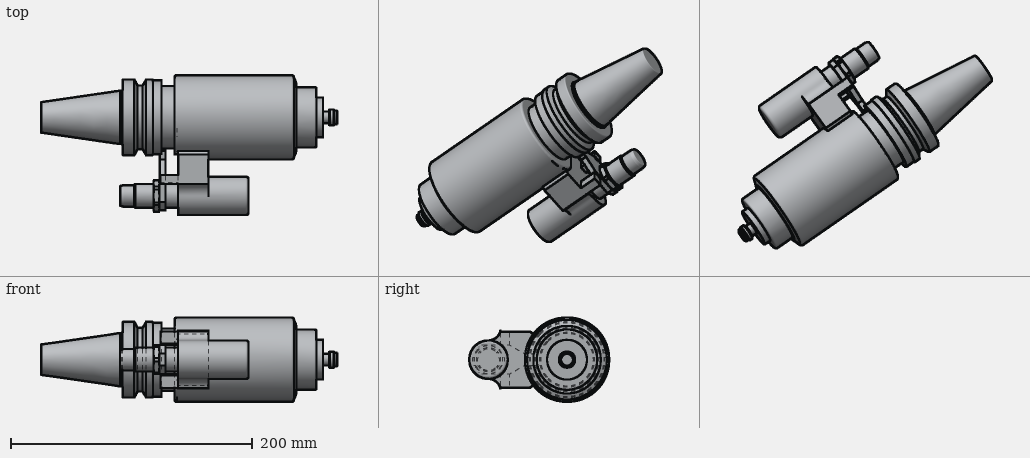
import cadquery as cq
import math


TAPER_LENGTH = 65.4
TAPER_RATIO = 7 / 24
GAUGE_RADIUS = 44.45 / 2
TIP_RADIUS = GAUGE_RADIUS - TAPER_LENGTH * TAPER_RATIO / 2
TIP_FILLET = 0.7
RELIEF_RADIUS = 43.5 / 2
RELIEF_CORNER = 1.0
FLANGE_START = 2.0
FLANGE_END = 27.0
FLANGE_RADIUS = 63 / 2
FLANGE_FILLET = 1.0
GROOVE_CENTRE = 16.6
GROOVE_MOUTH_HALF_WIDTH = 5.0
GROOVE_FLOOR_RADIUS = 53 / 2
GROOVE_WALL_ANGLE = 30

COLLAR_RADIUS = 61.5 / 2
COLLAR_END = 34.4
NECK_RADIUS = 52 / 2
BODY_START = 45.0
BODY_RADIUS = 70 / 2
BODY_FILLET = 2.0
BODY_SHOULDER = 143.9
BODY_END = 145.9
BODY_END_RADIUS = 28.0
NOSE_RADIUS = 50 / 2
NOSE_END = 162.5
NOSE_FILLET = 1.5
BOSS_RADIUS = 33 / 2
BOSS_END = 168.0

STEM_RADIUS = 10 / 2
FITTING_START = 172.8
FITTING_RING_RADIUS = 13.4 / 2
FITTING_RING_END = 177.2
FITTING_CHAMFER = 0.8
PLUG_RADIUS = 11.5 / 2
TOTAL_LENGTH = 245.22
PLUG_END = TOTAL_LENGTH - TAPER_LENGTH

PIN_Y = -65.0
PIN_RADIUS = 20 / 2
PIN_STEP = 12.6
PIN_STEP_CHAMFER = 1.0
PIN_TIP_RADIUS = 18 / 2
PIN_TIP_START = 0.0
PIN_TIP_TAPER_LENGTH = 2.8
PIN_TIP_TAPER_DEPTH = 0.8
PIN_TIP_FILLET = 0.7
HOUSING_RADIUS = 32 / 2
HOUSING_END = 106.4
HOUSING_FILLET = 2.3

BLOCK_START = 48.0
BLOCK_LENGTH = 25.0
BLOCK_HALF_HEIGHT = 46.5 / 2
SEAT_Y = -30.6
BLOCK_FRONT_Y = -55.2
BLEND_RADIUS = 10.0
ARM_START = 33.4
ARM_BACK_Y = -47.6
ARM_CHAMFER = 1.3
PLATE_START = 32.6
PLATE_THICKNESS = 5.0
PLATE_HALF_WIDTH = 12.0
TONGUE_HALF_WIDTH = 4.75
TONGUE_TIP_Y = -27.6
TONGUE_SLOPE = 30
NUT_START = 27.5
NUT_ACROSS_FLATS = 24.0
NUT_TURNED_DIAMETER = 26.3
NUT_CHAMFER = 0.6
NUT_CHAMFER_DEPTH = 1.5


def revolve_about_x(profile, axis_y=0):
    """Revolve (x, radius) points, closed along the axis, about a line parallel to X."""
    points = [(profile[0][0], 0)] + profile + [(profile[-1][0], 0)]
    solid = cq.Workplane("XY").polyline(points).close().revolve(360, (0, 0, 0), (1, 0, 0))
    return solid.translate((0, axis_y, 0))


def cross_section(start):
    """Workplane square to the spindle; its local axes are global Y and Z."""
    return cq.Workplane("YZ", origin=(start, 0, 0))


def cylinder(start, end, radius, axis_y=0):
    return cross_section(start).center(axis_y, 0).circle(radius).extrude(end - start)


def make_shank():
    taper = revolve_about_x([(-TAPER_LENGTH, TIP_RADIUS), (0, GAUGE_RADIUS)])
    taper = taper.faces("<X").edges().fillet(TIP_FILLET)
    relief = revolve_about_x([
        (0, RELIEF_RADIUS),
        (FLANGE_START - RELIEF_CORNER, RELIEF_RADIUS),
        (FLANGE_START, RELIEF_RADIUS + RELIEF_CORNER),
    ])

    flange = cylinder(FLANGE_START, FLANGE_END, FLANGE_RADIUS)
    flange = flange.faces("<X or >X").edges().fillet(FLANGE_FILLET)
    return taper.union(relief).union(flange.cut(make_gripper_groove()))


def make_gripper_groove():
    depth = FLANGE_RADIUS - GROOVE_FLOOR_RADIUS
    floor_half_width = GROOVE_MOUTH_HALF_WIDTH - depth * math.tan(math.radians(GROOVE_WALL_ANGLE))
    outline = [
        (GROOVE_CENTRE - GROOVE_MOUTH_HALF_WIDTH, FLANGE_RADIUS),
        (GROOVE_CENTRE - floor_half_width, GROOVE_FLOOR_RADIUS),
        (GROOVE_CENTRE + floor_half_width, GROOVE_FLOOR_RADIUS),
        (GROOVE_CENTRE + GROOVE_MOUTH_HALF_WIDTH, FLANGE_RADIUS),
    ]
    return cq.Workplane("XY").polyline(outline).close().revolve(360, (0, 0, 0), (1, 0, 0))


def make_spindle_body():
    collar = cylinder(FLANGE_END, COLLAR_END, COLLAR_RADIUS)
    neck = cylinder(COLLAR_END, BODY_START, NECK_RADIUS)

    body = cylinder(BODY_START, BODY_SHOULDER, BODY_RADIUS)
    body = body.faces("<X or >X").edges().fillet(BODY_FILLET)
    end_cone = revolve_about_x([
        (BODY_SHOULDER, BODY_RADIUS - BODY_FILLET),
        (BODY_END, BODY_END_RADIUS),
    ])
    seat_depth = BODY_RADIUS + SEAT_Y
    seat = cq.Workplane("XY").box(
        BLOCK_START + BLOCK_LENGTH - BODY_START, seat_depth, 2 * BODY_RADIUS, centered=(False, False, True)
    ).translate((BODY_START, -BODY_RADIUS, 0))

    nose = cylinder(BODY_END, NOSE_END, NOSE_RADIUS).faces(">X").edges().fillet(NOSE_FILLET)
    boss = cylinder(NOSE_END, BOSS_END, BOSS_RADIUS)
    return collar.union(neck).union(body.cut(seat)).union(end_cone).union(nose).union(boss)


def make_coolant_fitting():
    stem = cylinder(BOSS_END, FITTING_START, STEM_RADIUS)
    ring = cylinder(FITTING_START, FITTING_RING_END, FITTING_RING_RADIUS)
    ring = ring.faces("<X or >X").edges().chamfer(FITTING_CHAMFER)
    plug = cylinder(FITTING_RING_END, PLUG_END, PLUG_RADIUS)
    plug = plug.faces(">X").edges().chamfer(FITTING_CHAMFER)
    return stem.union(ring).union(plug)


def make_pin():
    pin = revolve_about_x([
        (PIN_TIP_START, PIN_TIP_RADIUS - PIN_TIP_TAPER_DEPTH),
        (PIN_TIP_START + PIN_TIP_TAPER_LENGTH, PIN_TIP_RADIUS),
        (PIN_STEP - PIN_STEP_CHAMFER, PIN_TIP_RADIUS),
        (PIN_STEP, PIN_RADIUS),
        (BLOCK_START, PIN_RADIUS),
    ], PIN_Y)
    pin = pin.faces("<X").edges().fillet(PIN_TIP_FILLET)
    housing = cylinder(BLOCK_START, HOUSING_END, HOUSING_RADIUS, PIN_Y)
    housing = housing.faces(">X").edges().fillet(HOUSING_FILLET)
    return pin.union(housing)


def make_block():
    block = (
        cross_section(BLOCK_START)
        .moveTo(0, 0)
        .lineTo(SEAT_Y, BLOCK_HALF_HEIGHT)
        .lineTo(BLOCK_FRONT_Y, BLOCK_HALF_HEIGHT)
        .lineTo(BLOCK_FRONT_Y, -BLOCK_HALF_HEIGHT)
        .lineTo(SEAT_Y, -BLOCK_HALF_HEIGHT)
        .close()
        .extrude(BLOCK_LENGTH)
    )
    blend_run = BLOCK_FRONT_Y - PIN_Y
    blend_rise = BLEND_RADIUS - math.sqrt(BLEND_RADIUS ** 2 - blend_run ** 2)
    web_half_height = HOUSING_RADIUS + blend_rise
    web = (
        cross_section(BLOCK_START)
        .moveTo(BLOCK_FRONT_Y, -web_half_height)
        .lineTo(BLOCK_FRONT_Y, web_half_height)
        .lineTo(PIN_Y, web_half_height)
        .lineTo(PIN_Y, -web_half_height)
        .close()
        .extrude(BLOCK_LENGTH)
    )
    for side in (1, -1):
        blend_z = side * (HOUSING_RADIUS + BLEND_RADIUS)
        blend = cross_section(BLOCK_START).center(PIN_Y, blend_z).circle(BLEND_RADIUS)
        web = web.cut(blend.extrude(BLOCK_LENGTH))
    return block.union(web)


def make_arm(side):
    """Finger on the block that holds the stop plate; side is +1 above, -1 below."""
    outline = [
        (ARM_BACK_Y, side * BLOCK_HALF_HEIGHT),
        (BLOCK_FRONT_Y, side * BLOCK_HALF_HEIGHT),
        (BLOCK_FRONT_Y, side * (PLATE_HALF_WIDTH + ARM_CHAMFER)),
        (BLOCK_FRONT_Y + ARM_CHAMFER, side * PLATE_HALF_WIDTH),
        (ARM_BACK_Y, side * PLATE_HALF_WIDTH),
    ]
    return cross_section(ARM_START).polyline(outline).close().extrude(BLOCK_START - ARM_START)


def make_stop_plate():
    octagon_half_side = PLATE_HALF_WIDTH * math.tan(math.pi / 8)
    slope_run = (PLATE_HALF_WIDTH - TONGUE_HALF_WIDTH) / math.tan(math.radians(TONGUE_SLOPE))
    upper_edge = [
        (TONGUE_TIP_Y, TONGUE_HALF_WIDTH),
        (ARM_BACK_Y + slope_run, TONGUE_HALF_WIDTH),
        (ARM_BACK_Y, PLATE_HALF_WIDTH),
        (PIN_Y - octagon_half_side, PLATE_HALF_WIDTH),
        (PIN_Y - PLATE_HALF_WIDTH, octagon_half_side),
    ]
    lower_edge = [(y, -z) for y, z in reversed(upper_edge)]
    return cross_section(PLATE_START).polyline(upper_edge + lower_edge).close().extrude(PLATE_THICKNESS)


def make_nut():
    across_corners = NUT_ACROSS_FLATS / math.cos(math.pi / 6)
    thickness = PLATE_START - NUT_START
    hexagon = cross_section(NUT_START).center(PIN_Y, 0).polygon(6, across_corners).extrude(thickness)
    turned_radius = NUT_TURNED_DIAMETER / 2
    turned_blank = revolve_about_x([
        (NUT_START, turned_radius - NUT_CHAMFER_DEPTH),
        (NUT_START + NUT_CHAMFER, turned_radius),
        (PLATE_START - NUT_CHAMFER, turned_radius),
        (PLATE_START, turned_radius - NUT_CHAMFER_DEPTH),
    ], PIN_Y)
    return hexagon.intersect(turned_blank)


result = make_shank().union(make_spindle_body()).union(make_coolant_fitting())
result = result.union(make_block()).union(make_pin())
result = result.union(make_arm(1)).union(make_arm(-1))
result = result.union(make_stop_plate()).union(make_nut())